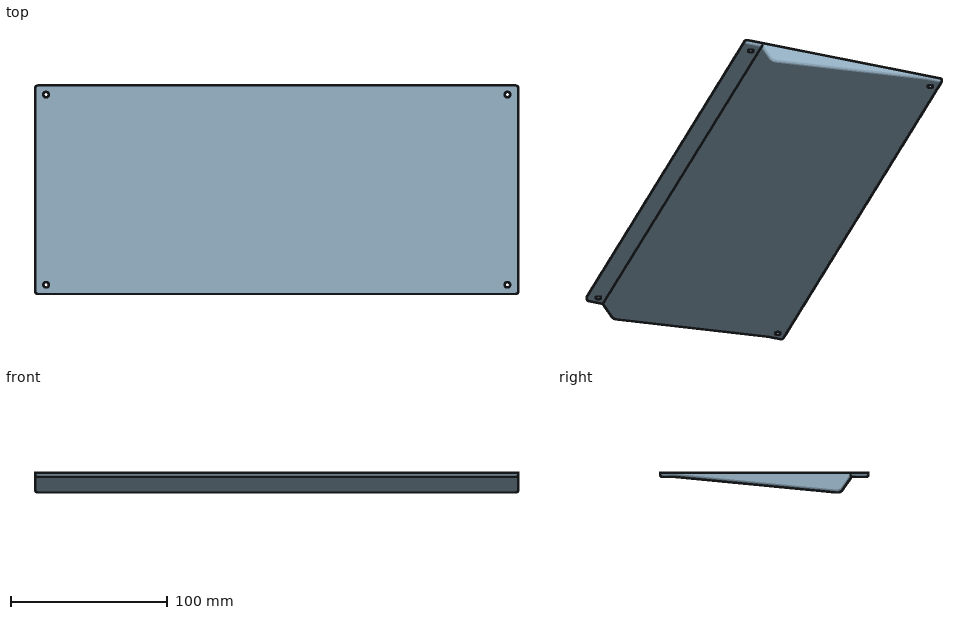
import cadquery as cq
import math

length = 308.77
width = 133.51
height = 12.81

plate_thickness = 2.85
corner_radius = 2.0
bottom_edge_radius = 2.0

rear_ledge = 11.0
steep_angle = math.radians(55)
ramp_angle = math.radians(5.51)
keel_radius = 4.0

hole_diameter = 3.4
hole_inset_x = 7.0
hole_inset_y = 6.0

wall_top_y = width / 2 - rear_ledge
arc_centre_z = keel_radius - height
wall_drop = -plate_thickness - arc_centre_z
arc_centre_y = wall_top_y - (wall_drop * math.cos(steep_angle) + keel_radius) / math.sin(steep_angle)


def keel_point(angle):
    """Point (y, z) on the keel arc, angle measured from straight down towards +Y."""
    y = arc_centre_y + keel_radius * math.sin(angle)
    z = arc_centre_z - keel_radius * math.cos(angle)
    return y, z


def round_lower_rim(body):
    """Round the outer edge of the underside: front, rear, corners and both section ends."""
    ends_and_corners = body.edges("(not |Z) and (not |X)")
    front_and_rear = body.faces("<Y or >Y").edges("|X")
    rim = ends_and_corners.add(front_and_rear).edges("not >Z")
    return rim.fillet(bottom_edge_radius)


def make_body():
    """Plate and wedge swept along X as one section, with rounded corners and lower edges."""
    wall_end = keel_point(steep_angle)
    ramp_end = keel_point(-ramp_angle)
    ramp_rise = -plate_thickness - ramp_end[1]
    ramp_top_y = ramp_end[0] - ramp_rise / math.tan(ramp_angle)
    body = (
        cq.Workplane("YZ")
        .moveTo(width / 2, 0)
        .lineTo(width / 2, -plate_thickness)
        .lineTo(wall_top_y, -plate_thickness)
        .lineTo(*wall_end)
        .threePointArc(keel_point(0), ramp_end)
        .lineTo(ramp_top_y, -plate_thickness)
        .lineTo(-width / 2, -plate_thickness)
        .lineTo(-width / 2, 0)
        .close()
        .extrude(length / 2, both=True)
    )
    body = body.edges("|Z").fillet(corner_radius)
    return round_lower_rim(body)


def hole_cutter():
    """Four vertical cylinders, one near each plate corner."""
    return (
        cq.Workplane("XY")
        .rect(length - 2 * hole_inset_x, width - 2 * hole_inset_y, forConstruction=True)
        .vertices()
        .circle(hole_diameter / 2)
        .extrude(-height)
    )


result = make_body().cut(hole_cutter())